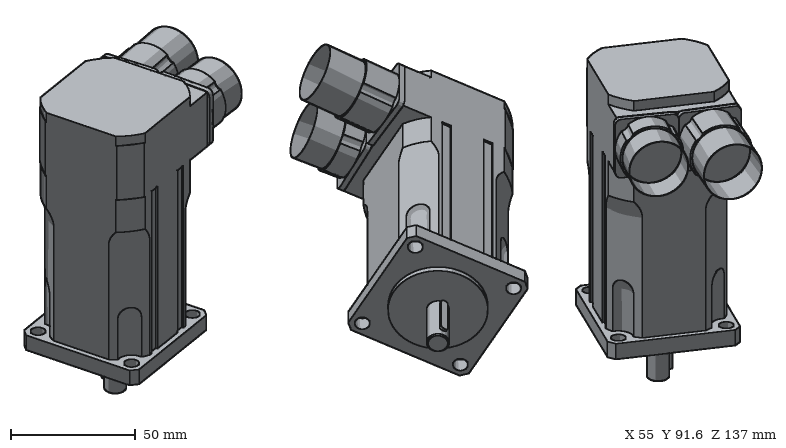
import cadquery as cq
import math

flange_side = 55.0
flange_thickness = 7.0
flange_corner_cut = 2.7
bolt_offset = 22.3
bolt_hole_diameter = 6.0

housing_side = 50.0
housing_top = 113.0
crown_radius = 30.0
barrel_radius = 28.2
barrel_top = 60.5
crown_bottom = 68.0

bolt_groove_radius = 6.2
bolt_groove_top = 25.9

side_groove_width = 4.1
side_groove_offset = 9.5
side_groove_depth = 0.8

pilot_diameter = 40.0
pilot_height = 2.5
shaft_diameter = 9.0
shaft_length = 24.0
shaft_chamfer = 0.5
key_width = 3.0
key_length = 18.0
key_start = 2.9
key_height = 5.6

head_centre_z = 95.9
head_height = 25.5
head_corner_chamfer = 8.0
head_apex_y = 30.1
tilt_degrees = 2.0

connector_plate_side = 26.0
connector_plate_thickness = 2.5
connector_plate_corner_radius = 2.5
collar_diameter = 26.0
connector_barrel_diameter = 24.4
connector_bore_diameter = 24.0
screw_groove_radius = 3.4
screw_groove_offset = 11.1
long_collar_end = 17.5
long_connector_end = 34.0
short_collar_end = 11.4
short_connector_end = 23.8

half_housing = housing_side / 2
head_bottom = head_centre_z - head_height / 2
corner_signs = [(sx, sy) for sx in (-1, 1) for sy in (-1, 1)]


def make_flange():
    """Square mounting flange with cut corners, on the pilot."""
    plate = (
        cq.Workplane("XY")
        .rect(flange_side, flange_side)
        .extrude(flange_thickness)
        .edges("|Z")
        .chamfer(flange_corner_cut)
    )
    pilot = cq.Workplane("XY").circle(pilot_diameter / 2).extrude(-pilot_height)
    return plate.union(pilot)


def make_housing_column():
    """Square column whose corners are turned to two radii, joined by an arc tangent to the lower one."""
    step = crown_radius - barrel_radius
    rise = crown_bottom - barrel_top
    arc_radius = (step**2 + rise**2) / (2 * step)
    half_angle = math.asin(rise / arc_radius) / 2
    arc_middle = (
        barrel_radius + arc_radius * (1 - math.cos(half_angle)),
        barrel_top + arc_radius * math.sin(half_angle),
    )
    turned = (
        cq.Workplane("XZ")
        .lineTo(barrel_radius, 0)
        .lineTo(barrel_radius, barrel_top)
        .threePointArc(arc_middle, (crown_radius, crown_bottom))
        .lineTo(crown_radius, housing_top)
        .lineTo(0, housing_top)
        .close()
        .revolve(360, (0, 0, 0), (0, 1, 0))
    )
    square = cq.Workplane("XY").rect(housing_side, housing_side).extrude(housing_top)
    return square.intersect(turned)


def make_head():
    """Full-width block with chamfered front corners and a V-shaped rear."""
    edge_y = head_apex_y - half_housing * math.tan(math.radians(tilt_degrees))
    chamfer_start = half_housing - head_corner_chamfer
    return (
        cq.Workplane("XY", origin=(0, 0, head_bottom))
        .moveTo(-chamfer_start, -half_housing)
        .lineTo(chamfer_start, -half_housing)
        .lineTo(half_housing, -chamfer_start)
        .lineTo(half_housing, edge_y)
        .lineTo(0, head_apex_y)
        .lineTo(-half_housing, edge_y)
        .lineTo(-half_housing, -chamfer_start)
        .close()
        .extrude(head_height)
    )


def make_bolt_grooves():
    """Cutters that clear the bolt heads: upright cylinders above the flange, with ball ends."""
    grooves = cq.Workplane("XY")
    for sx, sy in corner_signs:
        foot = (sx * bolt_offset, sy * bolt_offset, flange_thickness)
        cylinder = (
            cq.Workplane("XY", origin=foot)
            .circle(bolt_groove_radius)
            .extrude(bolt_groove_top - flange_thickness)
        )
        ball = cq.Workplane("XY", origin=(foot[0], foot[1], bolt_groove_top)).sphere(bolt_groove_radius)
        grooves = grooves.add(cylinder.union(ball))
    return grooves.combine()


def make_side_grooves():
    """Cutters for the shallow upright grooves below the head, two on each X side."""
    centres = [(sx * half_housing, sy * side_groove_offset) for sx, sy in corner_signs]
    return (
        cq.Workplane("XY", origin=(0, 0, flange_thickness))
        .pushPoints(centres)
        .rect(2 * side_groove_depth, side_groove_width)
        .extrude(head_bottom - flange_thickness)
    )


def make_shaft():
    """Chamfered output shaft with a round-ended key on its -X side."""
    shaft = (
        cq.Workplane("XY")
        .circle(shaft_diameter / 2)
        .extrude(-shaft_length)
        .faces("<Z")
        .chamfer(shaft_chamfer)
    )
    key = (
        cq.Workplane("YZ")
        .center(0, -key_start - key_length / 2)
        .slot2D(key_length, key_width, 90)
        .extrude(-key_height)
    )
    return shaft.union(key)


def make_motor():
    """Flange, housing, connector head and shaft as one body."""
    head_zone = (
        cq.Workplane("XY", origin=(0, 0, head_bottom))
        .rect(flange_side, flange_side)
        .extrude(head_height)
    )
    housing = make_housing_column().cut(head_zone).union(make_head())
    housing = housing.cut(make_bolt_grooves()).cut(make_side_grooves())
    bolt_centres = [(sx * bolt_offset, sy * bolt_offset) for sx, sy in corner_signs]
    bolt_holes = (
        cq.Workplane("XY")
        .pushPoints(bolt_centres)
        .circle(bolt_hole_diameter / 2)
        .extrude(flange_thickness)
    )
    return make_flange().cut(bolt_holes).union(housing).union(make_shaft())


def make_connector(side, collar_end, connector_end):
    """Round connector on one half of the V; side is -1 for the -X half and 1 for the +X half."""
    tilt = math.radians(tilt_degrees)
    outward = cq.Vector(side * math.sin(tilt), math.cos(tilt), 0)
    across = cq.Vector(math.cos(tilt), -side * math.sin(tilt), 0)
    apex = cq.Vector(0, head_apex_y, head_centre_z)
    seat = cq.Plane(apex + across * (side * connector_plate_side / 2), across, outward)

    plate = (
        cq.Workplane(seat)
        .rect(connector_plate_side, connector_plate_side)
        .extrude(connector_plate_thickness)
        .edges(cq.selectors.ParallelDirSelector(outward))
        .fillet(connector_plate_corner_radius)
    )
    collar = cq.Workplane(seat).circle(collar_diameter / 2).extrude(collar_end)
    screw_grooves = (
        cq.Workplane(seat)
        .workplane(offset=connector_plate_thickness)
        .rect(2 * screw_groove_offset, 2 * screw_groove_offset, forConstruction=True)
        .vertices()
        .circle(screw_groove_radius)
        .extrude(collar_end - connector_plate_thickness)
    )
    barrel = cq.Workplane(seat).circle(connector_barrel_diameter / 2).extrude(connector_end)
    bore = (
        cq.Workplane(seat)
        .workplane(offset=collar_end)
        .circle(connector_bore_diameter / 2)
        .extrude(connector_end - collar_end)
    )
    return plate.union(collar.cut(screw_grooves)).union(barrel).cut(bore)


motor = make_motor()
long_connector = make_connector(-1, long_collar_end, long_connector_end)
short_connector = make_connector(1, short_collar_end, short_connector_end)

result = cq.Compound.makeCompound([motor.val(), long_connector.val(), short_connector.val()])